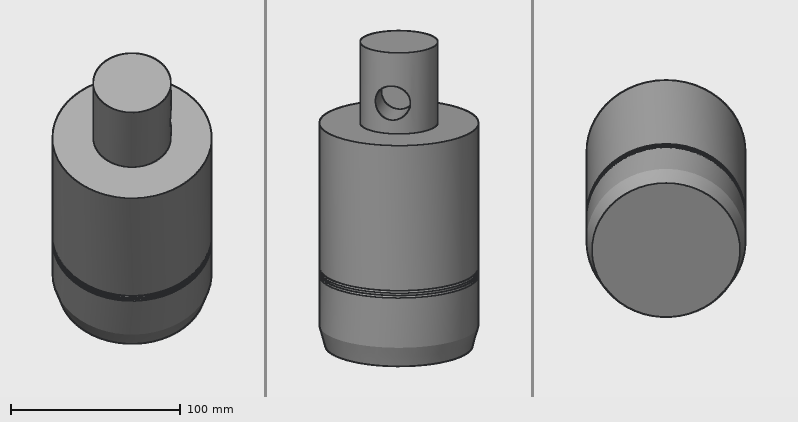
import cadquery as cq
import math

total_height = 187.0
body_diameter = 94.0
shank_diameter = 46.0
shank_length = 50.0

taper_height = 12.5
taper_angle = 15.0

groove_radius = 0.7
groove_pitch = 3.0
groove_pair_height = 45.5

hole_diameter = 21.0
hole_below_top = 31.0

body_radius = body_diameter / 2
shank_radius = shank_diameter / 2
shoulder_height = total_height - shank_length


def make_body():
    """Cylinder with a conical lower end."""
    foot_radius = body_radius - taper_height * math.tan(math.radians(taper_angle))
    return (
        cq.Workplane("XZ")
        .moveTo(0, 0)
        .lineTo(foot_radius, 0)
        .lineTo(body_radius, taper_height)
        .lineTo(body_radius, shoulder_height)
        .lineTo(0, shoulder_height)
        .close()
        .revolve(360, (0, 0), (0, 1))
    )


def make_shank():
    return (
        cq.Workplane("XY")
        .workplane(offset=shoulder_height)
        .circle(shank_radius)
        .extrude(shank_length)
    )


def make_groove(height):
    """Ring of round section centred on the body surface."""
    return cq.Workplane("XY").add(
        cq.Solid.makeTorus(body_radius, groove_radius, cq.Vector(0, 0, height))
    )


def make_radial_hole():
    """Flat-bottomed hole running from the shank axis out through +Y."""
    hole_height = total_height - hole_below_top
    return (
        cq.Workplane("XZ", origin=(0, 0, hole_height))
        .circle(hole_diameter / 2)
        .extrude(-shank_radius)
    )


result = make_body().union(make_shank())
for side in (-1, 1):
    result = result.cut(make_groove(groove_pair_height + side * groove_pitch / 2))
result = result.cut(make_radial_hole())